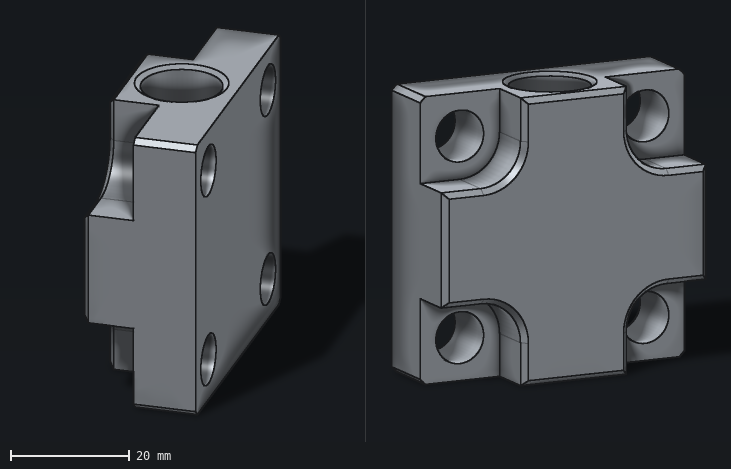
import cadquery as cq

side = 50.0
depth = 20.0
edge_chamfer = 1.0

recess_depth = 9.0
recess_side = 15.0
recess_radius = recess_side / 2
mount_hole_diameter = 9.0
mount_hole_pitch = side - recess_side

bore_diameter = 14.0
bore_flare_width = 1.0
bore_flare_depth = 0.6
bore_x = depth / 2


def make_plate():
    """Square back plate with chamfered corners, pierced by the mounting holes."""
    return (
        cq.Workplane("YZ", origin=(recess_depth, 0, 0))
        .rect(side, side)
        .extrude(depth - recess_depth)
        .edges("|X")
        .chamfer(edge_chamfer)
        .faces("<X")
        .workplane(centerOption="CenterOfBoundBox")
        .rect(mount_hole_pitch, mount_hole_pitch, forConstruction=True)
        .vertices()
        .hole(mount_hole_diameter)
    )


def make_cross():
    """Raised cross with concave inner corners and a chamfered front outline."""
    arm_width = side - 2 * recess_side
    arms = cq.Workplane("YZ").rect(side, arm_width).extrude(recess_depth)
    arms = arms.union(cq.Workplane("YZ").rect(arm_width, side).extrude(recess_depth))
    middle = cq.Workplane("YZ").rect(mount_hole_pitch, mount_hole_pitch).extrude(recess_depth)
    scoops = (
        cq.Workplane("YZ")
        .rect(mount_hole_pitch, mount_hole_pitch, forConstruction=True)
        .vertices()
        .circle(recess_radius)
        .extrude(recess_depth)
    )
    cross = arms.union(middle.cut(scoops)).clean()
    return cross.faces("<X").edges().chamfer(edge_chamfer)


def make_bore():
    """Cutter for the vertical bore, flared at both mouths."""
    bore_radius = bore_diameter / 2
    mouth_radius = bore_radius + bore_flare_width
    half_side = side / 2
    flare_start = half_side - bore_flare_depth
    return (
        cq.Workplane("XZ")
        .moveTo(0, -half_side)
        .lineTo(mouth_radius, -half_side)
        .lineTo(bore_radius, -flare_start)
        .lineTo(bore_radius, flare_start)
        .lineTo(mouth_radius, half_side)
        .lineTo(0, half_side)
        .close()
        .revolve(360, (0, 0, 0), (0, 1, 0))
        .translate((bore_x, 0, 0))
    )


block = make_plate().union(make_cross())
result = block.cut(make_bore()).translate((-depth / 2, 0, 0))